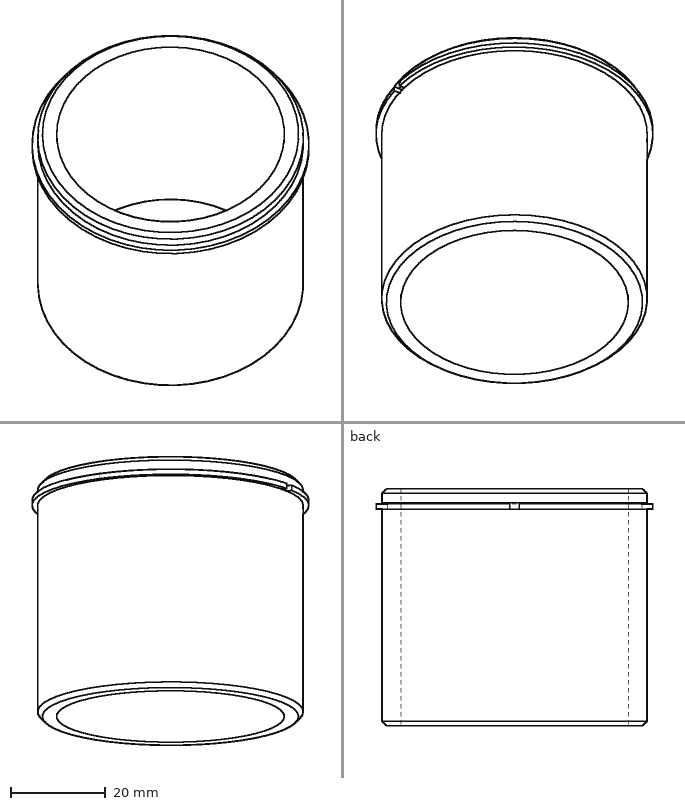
import cadquery as cq

sleeve_diameter = 56.0
bore_diameter = 48.0
sleeve_height = 50.0
chamfer_radial = 1.0
chamfer_axial = 1.0

ring_diameter = 58.4
ring_thickness = 1.1
ring_gap = 2.0
groove_diameter = 53.7
groove_top_depth = 3.0
groove_clearance = 0.25
groove_width = ring_thickness + groove_clearance
groove_bottom = sleeve_height - groove_top_depth - groove_width


def annulus(outer_diameter, inner_diameter, height, bottom):
    """Flat-ended ring around the Z axis."""
    return (
        cq.Workplane("XY")
        .workplane(offset=bottom)
        .circle(outer_diameter / 2)
        .circle(inner_diameter / 2)
        .extrude(height)
    )


def make_sleeve():
    """Revolved sleeve with chamfered outer rims and a groove for the ring."""
    outer = sleeve_diameter / 2
    bore = bore_diameter / 2
    profile = [
        (bore, 0),
        (outer - chamfer_radial, 0),
        (outer, chamfer_axial),
        (outer, sleeve_height - chamfer_axial),
        (outer - chamfer_radial, sleeve_height),
        (bore, sleeve_height),
    ]
    body = cq.Workplane("XZ").polyline(profile).close().revolve(360, (0, 0), (0, 1))
    groove = annulus(ring_diameter, groove_diameter, groove_width, groove_bottom)
    return body.cut(groove)


def make_snap_ring():
    """Split ring with its parallel-sided gap on the +Y side."""
    ring = annulus(ring_diameter, groove_diameter, ring_thickness, groove_bottom)
    gap = (
        cq.Workplane("XY")
        .workplane(offset=groove_bottom)
        .center(0, ring_diameter / 2)
        .rect(ring_gap, ring_diameter)
        .extrude(ring_thickness)
    )
    return ring.cut(gap)


sleeve = make_sleeve()
snap_ring = make_snap_ring()

result = cq.Compound.makeCompound([sleeve.val(), snap_ring.val()])